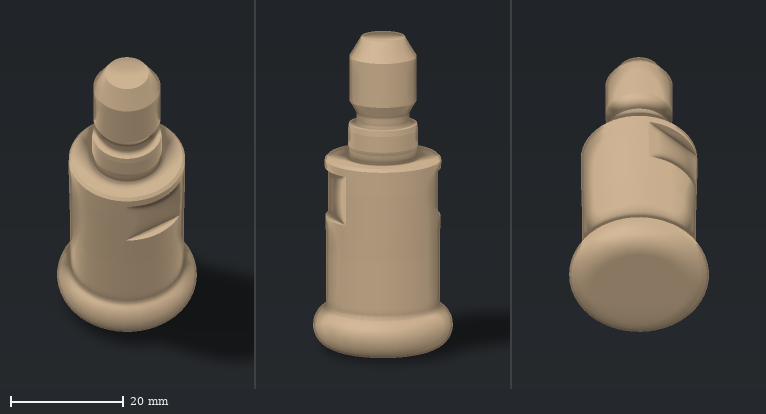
import cadquery as cq
import math

total_height = 57.0

knob_round = 3.96
knob_outer_radius = 12.5
neck_fillet = 1.15
grip_radius = 20.3 / 2
grip_top = 18.0
collar_radius = 20.8 / 2
collar_bottom = 30.05
housing_top = 35.0
rim_chamfer = 0.5

flat_half_spacing = 8.55
flat_bottom = 24.05
flat_top = 33.05

seat_radius = 6.4
countersink_radius = 7.1
countersink_depth = 0.1
seat_depth = 5.7

tip_radius = 3.9
head_radius = 12.0 / 2
tip_chamfer_height = 3.6
head_bottom = 45.3
groove_radius = 9.4 / 2
groove_fillet = 0.7
cone_half_angle = math.radians(30)
land_radius = 12.5 / 2
land_shoulder_top = 41.05
land_shoulder_radius = 6.1
land_top = 40.0
land_bottom = 37.1
shank_radius = 12.1 / 2
land_taper_height = 0.7

seat_bottom = housing_top - seat_depth
seat_top = housing_top - countersink_depth


def arc_point(center, radius, angle):
    """Point on a circle in the (radius, height) half-plane."""
    return (center[0] + radius * math.cos(angle), center[1] + radius * math.sin(angle))


def revolve(profile):
    """Close a (radius, height) profile and turn it about the Z axis."""
    return profile.close().revolve(360, (0, 0, 0), (0, 1, 0))


def housing_blank():
    knob_center = (knob_outer_radius - knob_round, knob_round)
    fillet_center_radius = grip_radius + neck_fillet
    center_offset = fillet_center_radius - knob_center[0]
    center_rise = math.sqrt((knob_round + neck_fillet) ** 2 - center_offset ** 2)
    fillet_center = (fillet_center_radius, knob_center[1] + center_rise)
    tangent_angle = math.atan2(center_rise, center_offset)
    fillet_mid_angle = (tangent_angle + 2 * math.pi) / 2
    profile = (
        cq.Workplane("XZ")
        .lineTo(knob_center[0], 0)
        .threePointArc(
            (knob_outer_radius, knob_center[1]),
            arc_point(knob_center, knob_round, tangent_angle),
        )
        .threePointArc(
            arc_point(fillet_center, neck_fillet, fillet_mid_angle),
            (grip_radius, fillet_center[1]),
        )
        .lineTo(grip_radius, grip_top)
        .spline([(collar_radius, collar_bottom)], tangents=[(0, 1), (0, 1)], includeCurrent=True)
        .lineTo(collar_radius, housing_top - rim_chamfer)
        .lineTo(collar_radius - rim_chamfer, housing_top)
        .lineTo(countersink_radius, housing_top)
        .lineTo(seat_radius, seat_top)
        .lineTo(seat_radius, seat_bottom)
        .lineTo(0, seat_bottom)
    )
    return revolve(profile)


def cut_wrench_flats(body):
    cut_depth = knob_outer_radius - flat_half_spacing
    for side in (-1, 1):
        cutter = (
            cq.Workplane("XY", origin=(side * (flat_half_spacing + cut_depth / 2), 0, flat_bottom))
            .rect(cut_depth, 2 * knob_outer_radius)
            .extrude(flat_top - flat_bottom)
        )
        body = body.cut(cutter)
    return body


def make_pin():
    groove_center_radius = groove_radius + groove_fillet
    cone_end_radius = groove_center_radius - groove_fillet * math.cos(cone_half_angle)
    cone_end = head_bottom - (head_radius - cone_end_radius) / math.tan(cone_half_angle)
    upper_center = (groove_center_radius, cone_end - groove_fillet * math.sin(cone_half_angle))
    lower_center = (groove_center_radius, land_shoulder_top + groove_fillet)
    base_fillet = seat_radius - shank_radius
    base_center = (seat_radius, seat_top + base_fillet)
    quarter_mid = math.radians(225)
    profile = (
        cq.Workplane("XZ")
        .moveTo(0, seat_bottom)
        .lineTo(seat_radius, seat_bottom)
        .lineTo(seat_radius, seat_top)
        .threePointArc(
            arc_point(base_center, base_fillet, quarter_mid),
            (shank_radius, base_center[1]),
        )
        .lineTo(shank_radius, land_bottom - land_taper_height)
        .lineTo(land_radius, land_bottom)
        .lineTo(land_radius, land_top)
        .lineTo(land_shoulder_radius, land_shoulder_top)
        .lineTo(groove_center_radius, land_shoulder_top)
        .threePointArc(
            arc_point(lower_center, groove_fillet, quarter_mid),
            (groove_radius, lower_center[1]),
        )
        .lineTo(groove_radius, upper_center[1])
        .threePointArc(
            arc_point(upper_center, groove_fillet, math.pi - cone_half_angle / 2),
            (cone_end_radius, cone_end),
        )
        .lineTo(head_radius, head_bottom)
        .lineTo(head_radius, total_height - tip_chamfer_height)
        .lineTo(tip_radius, total_height)
        .lineTo(0, total_height)
    )
    return revolve(profile)


housing = cut_wrench_flats(housing_blank())
pin = make_pin()

result = cq.Compound.makeCompound([housing.val(), pin.val()])